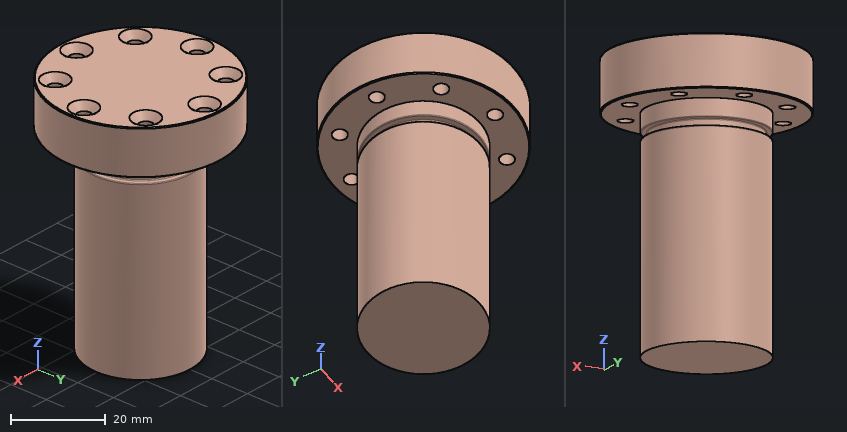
import cadquery as cq

total_length = 65.0
head_diameter = 45.0
head_thickness = 12.0
head_chamfer = 0.25
shank_diameter = 28.0

groove_diameter = 25.0
groove_width = 1.85
groove_edge_radius = 0.2
groove_offset = 4.1

screw_count = 8
screw_circle_diameter = 36.0
screw_hole_diameter = 3.4
countersink_diameter = 6.94
countersink_angle = 90.0

shank_length = total_length - head_thickness
groove_bottom = shank_length - groove_offset - groove_width


def make_head():
    """Flange disc with both rims chamfered."""
    disc = cq.Workplane("XY", origin=(0, 0, shank_length)).circle(head_diameter / 2).extrude(head_thickness)
    return disc.edges().chamfer(head_chamfer)


def make_shank():
    """Plain cylinder below the head."""
    return cq.Workplane("XY").circle(shank_diameter / 2).extrude(shank_length)


def make_groove():
    """Ring removed from the shank to form the retaining groove."""
    return (
        cq.Workplane("XY", origin=(0, 0, groove_bottom))
        .circle(shank_diameter / 2)
        .circle(groove_diameter / 2)
        .extrude(groove_width)
    )


def drill_screw_holes(body):
    """Countersunk through holes, evenly spaced around the head."""
    return (
        body.faces(">Z")
        .workplane(origin=(0, 0, total_length))
        .polarArray(screw_circle_diameter / 2, 0, 360, screw_count)
        .cskHole(screw_hole_diameter, countersink_diameter, countersink_angle)
    )


def make_grooved_shank():
    """Shank with the retaining groove, its rims and root corners rounded."""
    grooved = make_shank().cut(make_groove())
    groove_edges = cq.selectors.BoxSelector(
        (-shank_diameter, -shank_diameter, groove_bottom - groove_edge_radius),
        (shank_diameter, shank_diameter, groove_bottom + groove_width + groove_edge_radius),
    )
    return grooved.edges("%CIRCLE").edges(groove_edges).fillet(groove_edge_radius)


result = drill_screw_holes(make_head().union(make_grooved_shank()))